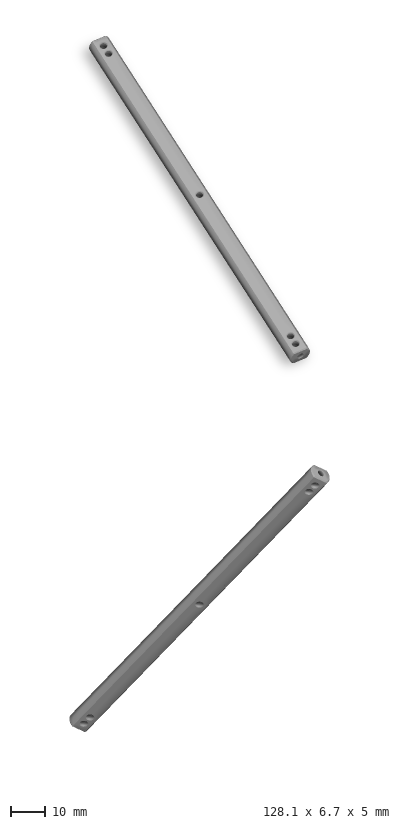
import cadquery as cq

length = 128.1
rod_diameter = 6.7
flat_height = 5.0
hole_diameter = 2.0
hole_mouth_diameter = 2.5
end_hole_inset = 3.1
hole_spacing = 3.2
end_chamfer = 0.32

half_length = length / 2
half_height = flat_height / 2
hole_radius = hole_diameter / 2
mouth_radius = hole_mouth_diameter / 2
mouth_depth = mouth_radius - hole_radius
outer_hole_x = half_length - end_hole_inset
inner_hole_x = outer_hole_x - hole_spacing
cross_hole_positions = [-outer_hole_x, -inner_hole_x, 0, inner_hole_x, outer_hole_x]


def flatted_rod():
    """Round rod along X, cut flat on top and bottom, with both ends chamfered."""
    rod = cq.Workplane("YZ").circle(rod_diameter / 2).extrude(half_length, both=True)
    flats = cq.Workplane("XY").box(length, rod_diameter, flat_height)
    return rod.intersect(flats).faces("<X or >X").chamfer(end_chamfer)


def axial_bore():
    """Bore running the full length of the rod."""
    return cq.Workplane("YZ").circle(hole_radius).extrude(half_length, both=True)


def cross_hole(x):
    """Vertical through hole at x, with a chamfered mouth on each flat."""
    profile = [
        (0, -half_height),
        (mouth_radius, -half_height),
        (hole_radius, -half_height + mouth_depth),
        (hole_radius, half_height - mouth_depth),
        (mouth_radius, half_height),
        (0, half_height),
    ]
    cutter = cq.Workplane("XZ").polyline(profile).close().revolve(360, (0, 0), (0, 1))
    return cutter.translate((x, 0, 0))


result = flatted_rod().cut(axial_bore())
for hole_x in cross_hole_positions:
    result = result.cut(cross_hole(hole_x))